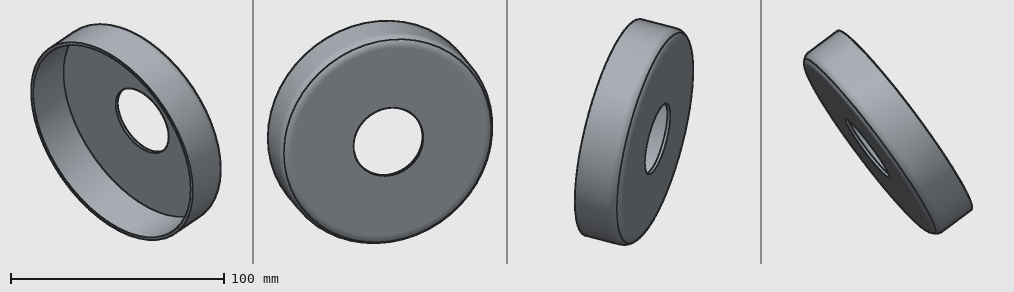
import cadquery as cq

outer_diameter = 105.0
inner_diameter = 102.0
depth = 22.0
bore_diameter = 34.2
wall = (outer_diameter - inner_diameter) / 2
floor_thickness = wall
edge_radius = 5.0

body = cq.Workplane("XZ").circle(outer_diameter / 2).extrude(-depth)
body = body.faces(">Y").edges().fillet(edge_radius)

cavity = cq.Workplane("XZ").circle(inner_diameter / 2).extrude(-(depth - floor_thickness))

bore = cq.Workplane("XZ").circle(bore_diameter / 2).extrude(-depth)

result = body.cut(cavity).cut(bore)